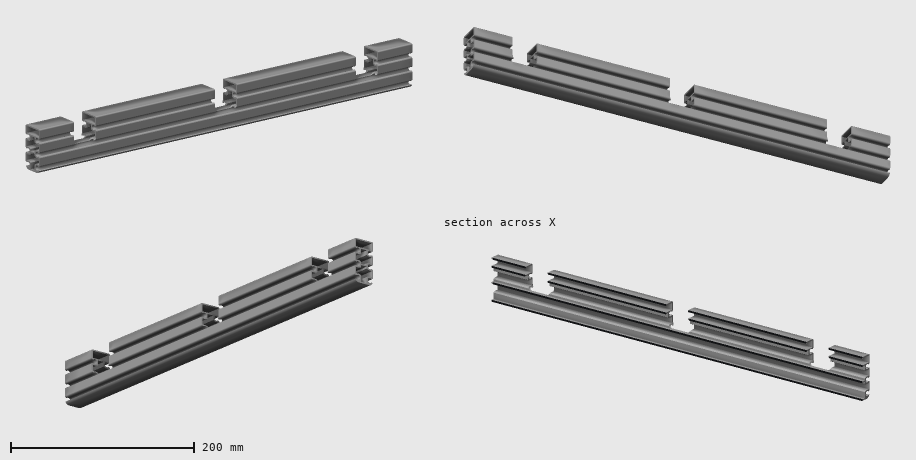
import cadquery as cq

LENGTH = 508.0
WIDTH = 25.5
HEIGHT = 51.0
WALL = 1.5
HALF_WIDTH = WIDTH / 2
TOP = HEIGHT / 2
BOTTOM = -HEIGHT / 2
TOP_CORNER_RADIUS = 1.5
BOTTOM_CORNER_RADIUS = 6.0

MIDDLE_SLOT_Z = -3.85
SLOT_PITCH = 16.0
UPPER_SLOT_Z = MIDDLE_SLOT_Z + SLOT_PITCH
LOWER_SLOT_Z = MIDDLE_SLOT_Z - SLOT_PITCH
MOUTH_HALF = 3.5
LIP_HALF = 2.0
POCKET_HALF = 2.8
LIP_DEPTH = 3.5
NECK_HALF = 3.8
SLOT_FLOOR_X = NECK_HALF + WALL
POCKET_BEND_X = SLOT_FLOOR_X + POCKET_HALF

CHAMBER_HALF = HALF_WIDTH - WALL
CHAMBER_CLEARANCE = 4.3
NECK_CLEARANCE = 3.0
CHAMBER_BEND_X = 6.0
BOX_FLOOR_Z = 16.0

WEB_TOP = MIDDLE_SLOT_Z + WALL / 2
WEB_BOTTOM = MIDDLE_SLOT_Z - WALL / 2

NOTCH_LENGTH = 30.0
NOTCH_SPACING = 192.0
NOTCH_FLOOR_Z = WEB_TOP
NOTCH_CORNER_RADIUS = 5.0


def section():
    """New sketch plane with +X to the right, +Z up, extruding along +Y."""
    return cq.Workplane("XZ", origin=(0, LENGTH / 2, 0))


def outer_bar():
    bar = section().rect(WIDTH, HEIGHT).extrude(LENGTH)
    bar = bar.edges("|Y and >Z").fillet(TOP_CORNER_RADIUS)
    return bar.edges("|Y and <Z").fillet(BOTTOM_CORNER_RADIUS)


def side_slot(center_z, side):
    """Slot with rounded lips; side is +1 or -1 for the +X or -X flank."""

    def point(x, offset):
        return (side * x, center_z + offset)

    lip_crest_x = HALF_WIDTH - LIP_DEPTH / 2
    lip_back_x = HALF_WIDTH - LIP_DEPTH
    outside_x = HALF_WIDTH + WALL
    return (
        section()
        .moveTo(*point(outside_x, MOUTH_HALF))
        .lineTo(*point(HALF_WIDTH, MOUTH_HALF))
        .threePointArc(point(lip_crest_x, LIP_HALF), point(lip_back_x, POCKET_HALF))
        .lineTo(*point(POCKET_BEND_X, POCKET_HALF))
        .threePointArc(point(SLOT_FLOOR_X, 0), point(POCKET_BEND_X, -POCKET_HALF))
        .lineTo(*point(lip_back_x, -POCKET_HALF))
        .threePointArc(point(lip_crest_x, -LIP_HALF), point(HALF_WIDTH, -MOUTH_HALF))
        .lineTo(*point(outside_x, -MOUTH_HALF))
        .close()
        .extrude(LENGTH)
    )


def chamber(upper_slot_z, lower_slot_z, ceiling_z, floor_z):
    """Cross-shaped chamber between two levels of slots."""
    wide_top = upper_slot_z - CHAMBER_CLEARANCE
    wide_bottom = lower_slot_z + CHAMBER_CLEARANCE
    right_half = [
        (NECK_HALF, ceiling_z),
        (NECK_HALF, upper_slot_z - NECK_CLEARANCE),
        (CHAMBER_BEND_X, wide_top),
        (CHAMBER_HALF, wide_top),
        (CHAMBER_HALF, wide_bottom),
        (CHAMBER_BEND_X, wide_bottom),
        (NECK_HALF, lower_slot_z + NECK_CLEARANCE),
        (NECK_HALF, floor_z),
    ]
    left_half = [(-x, z) for x, z in reversed(right_half)]
    return section().polyline(right_half + left_half).close().extrude(LENGTH)


def top_box():
    box_ceiling_z = TOP - WALL
    return (
        section()
        .center(0, (box_ceiling_z + BOX_FLOOR_Z) / 2)
        .rect(2 * CHAMBER_HALF, box_ceiling_z - BOX_FLOOR_Z)
        .extrude(LENGTH)
    )


def notch(center_y):
    depth = TOP - NOTCH_FLOOR_Z
    block = cq.Workplane("XY").box(WIDTH, NOTCH_LENGTH, depth)
    block = block.edges("|X and <Z").fillet(NOTCH_CORNER_RADIUS)
    return block.translate((0, center_y, NOTCH_FLOOR_Z + depth / 2))


result = outer_bar().cut(top_box())

for slot_z in (UPPER_SLOT_Z, MIDDLE_SLOT_Z, LOWER_SLOT_Z):
    for flank in (-1, 1):
        result = result.cut(side_slot(slot_z, flank))

result = result.cut(chamber(UPPER_SLOT_Z, MIDDLE_SLOT_Z, BOX_FLOOR_Z - WALL, WEB_TOP))
result = result.cut(chamber(MIDDLE_SLOT_Z, LOWER_SLOT_Z, WEB_BOTTOM, BOTTOM + WALL))

for notch_y in (-NOTCH_SPACING, 0, NOTCH_SPACING):
    result = result.cut(notch(notch_y))